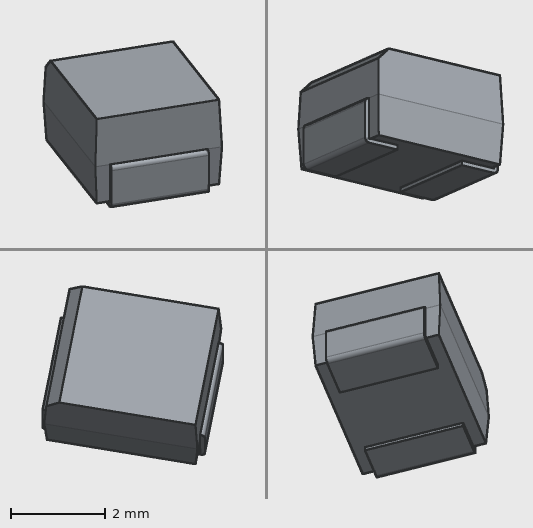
import cadquery as cq
import math

total_length = 3.5
body_width = 2.85
total_height = 2.1

lead_thickness = 0.1
lead_width = 2.188
lead_height = 1.0
short_foot_length = 0.85
long_foot_length = 0.95

body_length = total_length - 2 * lead_thickness
body_bottom = lead_thickness
parting_height = lead_height
taper_inset = 0.05
bevel_drop = 0.273
bevel_top_setback = 0.315


def tapered_half(end_height):
    """Half of the housing, narrowing from the parting plane to end_height."""
    return (
        cq.Workplane("XY", origin=(0, 0, parting_height))
        .rect(body_length, body_width)
        .workplane(offset=end_height - parting_height)
        .rect(body_length - 2 * taper_inset, body_width - 2 * taper_inset)
        .loft(ruled=True)
    )


def make_housing():
    """Two tapered halves as one body, with a bevel along the upper -X edge."""
    housing = tapered_half(total_height).union(tapered_half(body_bottom), clean=False)

    widest_x = -body_length / 2
    upper_height = total_height - parting_height
    lower_inset = taper_inset * (upper_height - bevel_drop) / upper_height
    bevel_wedge = (
        cq.Workplane("XZ")
        .moveTo(widest_x + bevel_top_setback, total_height)
        .lineTo(widest_x + lower_inset, total_height - bevel_drop)
        .lineTo(widest_x + lower_inset, total_height)
        .close()
        .extrude(body_width / 2, both=True)
    )
    return housing.cut(bevel_wedge)


def make_lead(side, foot_length):
    """L-shaped lead on the -X (side = -1) or +X (side = 1) end of the housing."""
    outer_x = side * total_length / 2
    inner_x = side * body_length / 2
    foot_tip_x = side * (total_length / 2 - foot_length)
    arc_reach = lead_thickness * math.sqrt(0.5)
    arc_mid_x = inner_x + side * arc_reach
    lower_arc_z = lead_thickness
    upper_arc_z = lead_height - lead_thickness
    return (
        cq.Workplane("XZ")
        .moveTo(foot_tip_x, 0)
        .lineTo(inner_x, 0)
        .threePointArc((arc_mid_x, lower_arc_z - arc_reach), (outer_x, lower_arc_z))
        .lineTo(outer_x, upper_arc_z)
        .threePointArc((arc_mid_x, upper_arc_z + arc_reach), (inner_x, lead_height))
        .lineTo(inner_x, lead_thickness)
        .lineTo(foot_tip_x, lead_thickness)
        .close()
        .extrude(lead_width / 2, both=True)
    )


housing = make_housing()
leads = [make_lead(side, foot) for side, foot in ((-1, short_foot_length), (1, long_foot_length))]

result = cq.Compound.makeCompound([housing.val(), *[lead.val() for lead in leads]])